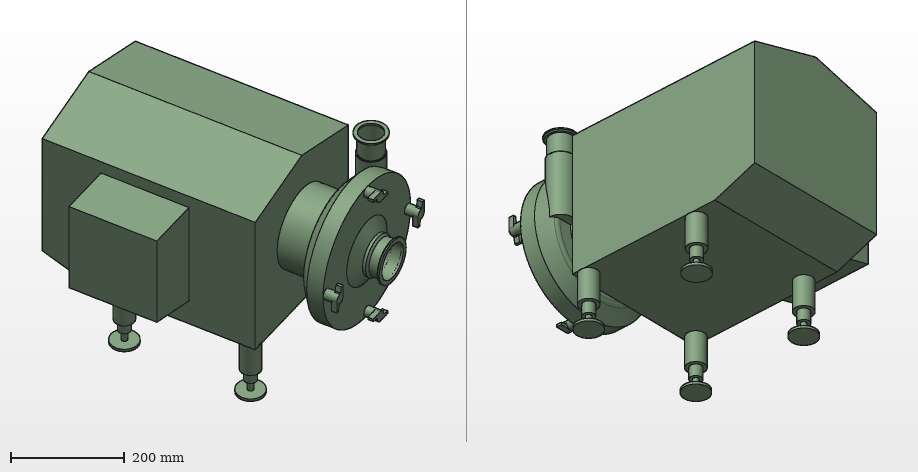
import cadquery as cq
import math


CABINET_LENGTH = 439.0
CABINET_WIDTH = 313.0
CABINET_BOTTOM = 118.0
EAVES_HEIGHT = 409.5
RIDGE_HEIGHT = 451.5
CUT_LENGTH = 96.0
CUT_HEIGHT = 35.0

BOX_START = 121.5
BOX_LENGTH = 181.0
BOX_DEPTH = 107.5
BOX_TOP = 384.0
BOX_FRONT_BOTTOM = 198.0
BOX_WALL_BOTTOM = 170.0

FOOT_DIAMETER = 56.0
FOOT_OVERHANG = 9.0
LEG_X = (158.0, 417.5)
LEG_Y = CABINET_WIDTH / 2 + FOOT_OVERHANG - FOOT_DIAMETER / 2
FOOT_THICKNESS = 5.5
SPINDLE_DIAMETER = 12.0
SLEEVE_DIAMETER = 25.0
SLEEVE_BOTTOM = 28.0
LEG_DIAMETER = 40.0
LEG_BOTTOM = 52.5

AXIS_HEIGHT = 290.5
MOTOR_DIAMETER = 166.0
CASING_DIAMETER = 294.0
CASING_BACK = 513.0
CASING_BACK_RADIUS = 110.0
CASING_CONE_START = 516.5
CASING_CONE_START_RADIUS = 120.0
CASING_RIM_START = 539.0
CASING_FRONT = 573.0
COVER_CONE_DIAMETER = 136.0
COLLAR_DIAMETER = 84.5
COLLAR_START = 590.0
COLLAR_CYLINDER_LENGTH = 6.0
COLLAR_BEVEL_LENGTH = 4.5

INLET_END = 626.0
INLET_DIAMETER = 76.5
INLET_BORE = 72.0
INLET_FLANGE_DIAMETER = 91.0
OUTLET_TOP = 470.0
OUTLET_X = 521.0
OUTLET_Y = 99.0
OUTLET_NECK_DIAMETER = 55.0
OUTLET_SHOULDER = 424.0
OUTLET_DIAMETER = 51.0
OUTLET_BORE = 47.5
OUTLET_FLANGE_DIAMETER = 64.0
FLANGE_EDGE = 3.0
FLANGE_BEVEL = 2.5

NUT_COUNT = 4
NUT_STEM_DIAMETER = 21.0
NUT_CIRCLE_RADIUS = CASING_DIAMETER / 2 - NUT_STEM_DIAMETER / 2
WING_START = COLLAR_START
WING_THICKNESS = 11.0
WING_REACH = 24.5
WING_TIP_WIDTH = 5.5
WING_KNEE_REACH = 12.0
WING_KNEE_WIDTH = 8.0
WING_ROOT_REACH = 5.0


def cylinder_z(x, y, bottom, top, diameter):
    return cq.Workplane("XY", origin=(x, y, bottom)).circle(diameter / 2).extrude(top - bottom)


def cylinder_x(y, z, start, end, diameter):
    return cq.Workplane("YZ", origin=(start, y, z)).circle(diameter / 2).extrude(end - start)


def make_cabinet():
    half_width = CABINET_WIDTH / 2
    gable = [
        (-half_width, CABINET_BOTTOM),
        (half_width, CABINET_BOTTOM),
        (half_width, EAVES_HEIGHT),
        (0, RIDGE_HEIGHT),
        (-half_width, EAVES_HEIGHT),
    ]
    body = cq.Workplane("YZ").polyline(gable).close().extrude(CABINET_LENGTH)
    sloped_cut = (
        cq.Workplane("XZ")
        .moveTo(0, CABINET_BOTTOM)
        .lineTo(CUT_LENGTH, CABINET_BOTTOM)
        .lineTo(0, CABINET_BOTTOM + CUT_HEIGHT)
        .close()
        .extrude(half_width, both=True)
    )
    return body.cut(sloped_cut)


def make_control_box():
    wall_y = -CABINET_WIDTH / 2
    front_y = wall_y - BOX_DEPTH
    side = [
        (wall_y, BOX_WALL_BOTTOM),
        (wall_y, BOX_TOP),
        (front_y, BOX_TOP),
        (front_y, BOX_FRONT_BOTTOM),
    ]
    return cq.Workplane("YZ", origin=(BOX_START, 0, 0)).polyline(side).close().extrude(BOX_LENGTH)


def make_leg(x, y):
    foot = cylinder_z(x, y, 0, FOOT_THICKNESS, FOOT_DIAMETER)
    spindle = cylinder_z(x, y, 0, SLEEVE_BOTTOM, SPINDLE_DIAMETER)
    sleeve = cylinder_z(x, y, SLEEVE_BOTTOM, LEG_BOTTOM, SLEEVE_DIAMETER)
    tube = cylinder_z(x, y, LEG_BOTTOM, CABINET_BOTTOM, LEG_DIAMETER)
    return foot.union(spindle).union(sleeve).union(tube)


def make_pump_body():
    motor_radius = MOTOR_DIAMETER / 2
    rim_radius = CASING_DIAMETER / 2
    inlet_radius = INLET_DIAMETER / 2
    flange_radius = INLET_FLANGE_DIAMETER / 2
    collar_radius = COLLAR_DIAMETER / 2
    collar_bevel = COLLAR_START + COLLAR_CYLINDER_LENGTH
    flange_edge = INLET_END - FLANGE_EDGE
    flange_back = flange_edge - FLANGE_BEVEL
    profile = (
        cq.Workplane("XY")
        .moveTo(CABINET_LENGTH, 0)
        .lineTo(CABINET_LENGTH, motor_radius)
        .lineTo(CASING_BACK, motor_radius)
        .lineTo(CASING_BACK, CASING_BACK_RADIUS)
        .tangentArcPoint((CASING_CONE_START, CASING_CONE_START_RADIUS), relative=False)
        .lineTo(CASING_RIM_START, rim_radius)
        .lineTo(CASING_FRONT, rim_radius)
        .lineTo(CASING_FRONT, COVER_CONE_DIAMETER / 2)
        .lineTo(COLLAR_START, collar_radius)
        .lineTo(collar_bevel, collar_radius)
        .lineTo(collar_bevel + COLLAR_BEVEL_LENGTH, inlet_radius)
        .lineTo(flange_back, inlet_radius)
        .lineTo(flange_back, flange_radius - FLANGE_BEVEL)
        .lineTo(flange_edge, flange_radius)
        .lineTo(INLET_END, flange_radius)
        .lineTo(INLET_END, 0)
        .close()
    )
    body = profile.revolve(360, (0, 0, 0), (1, 0, 0)).translate((0, 0, AXIS_HEIGHT))
    bore = cylinder_x(0, AXIS_HEIGHT, COLLAR_START, INLET_END, INLET_BORE)
    return body.cut(bore)


def make_outlet():
    flange_radius = OUTLET_FLANGE_DIAMETER / 2
    flange_edge = OUTLET_TOP - FLANGE_EDGE
    flange_bottom = flange_edge - FLANGE_BEVEL
    half_profile = [
        (0, AXIS_HEIGHT),
        (OUTLET_NECK_DIAMETER / 2, AXIS_HEIGHT),
        (OUTLET_NECK_DIAMETER / 2, OUTLET_SHOULDER),
        (OUTLET_DIAMETER / 2, OUTLET_SHOULDER),
        (OUTLET_DIAMETER / 2, flange_bottom),
        (flange_radius - FLANGE_BEVEL, flange_bottom),
        (flange_radius, flange_edge),
        (flange_radius, OUTLET_TOP),
        (OUTLET_BORE / 2, OUTLET_TOP),
        (OUTLET_BORE / 2, OUTLET_SHOULDER),
        (0, OUTLET_SHOULDER),
    ]
    pipe = cq.Workplane("XZ").polyline(half_profile).close().revolve(360, (0, 0, 0), (0, 1, 0))
    return pipe.translate((OUTLET_X, OUTLET_Y, 0))


def make_wing_nut():
    stem_radius = NUT_STEM_DIAMETER / 2
    nut_height = AXIS_HEIGHT + NUT_CIRCLE_RADIUS
    wing_end = WING_START + WING_THICKNESS
    nut = cylinder_x(0, nut_height, CASING_FRONT, wing_end, NUT_STEM_DIAMETER)
    root_depth = math.sqrt(stem_radius**2 - WING_ROOT_REACH**2)
    wing_outline = [
        (0, stem_radius),
        (-WING_REACH, stem_radius),
        (-WING_REACH, stem_radius - WING_TIP_WIDTH),
        (-WING_KNEE_REACH, stem_radius - WING_KNEE_WIDTH),
        (-WING_ROOT_REACH, -root_depth),
        (0, 0),
    ]
    wing = (
        cq.Workplane("YZ", origin=(WING_START, 0, nut_height))
        .polyline(wing_outline)
        .close()
        .extrude(WING_THICKNESS)
    )
    opposite_wing = wing.rotate((0, 0, nut_height), (1, 0, nut_height), 180)
    return nut.union(wing).union(opposite_wing)


result = make_cabinet().union(make_control_box())

for leg_x in LEG_X:
    for leg_y in (-LEG_Y, LEG_Y):
        result = result.union(make_leg(leg_x, leg_y))

result = result.union(make_pump_body()).union(make_outlet())

wing_nut = make_wing_nut()
for index in range(NUT_COUNT):
    angle = index * 360 / NUT_COUNT
    result = result.union(wing_nut.rotate((0, 0, AXIS_HEIGHT), (1, 0, AXIS_HEIGHT), angle))